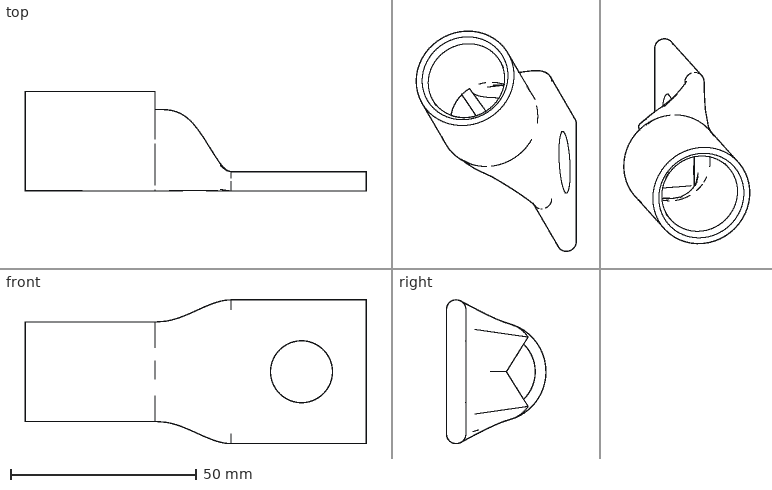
import cadquery as cq
import math

length = 92.1
barrel_diameter = 26.9
pad_width = 38.9

barrel_length = 35.1
bore_radius = 10.5
mouth_radius = 11.8
mouth_depth = 2.0
barrel_radius = barrel_diameter / 2

pad_start = 55.5
pad_thickness = 5.25
hole_diameter = 16.7
hole_x = 74.6
edge_radius = pad_thickness / 2
flat_half_width = pad_width / 2 - edge_radius

dent_y = 16.2
cavity_dent_y = 13.1
dent_slope = 1.6
ridge_drop = 0.7
seam_low_y = 9.9
seam_high_y = 16.85
ridge_share = 0.7
tip_softness = 0.1
slit_half_height = 0.05

blend_steps = 8
arc_steps = 6
side_lag = 1.1
ridge_lag = 1.7


def mix(start, end, share):
    return start + (end - start) * share


def smooth(share):
    return share * share * (3 - 2 * share)


def v_ridge(radius, apex_y):
    """Height and half width at which the V meets a circle on the barrel axis."""
    rise = apex_y - barrel_radius
    a = 1 + dent_slope ** 2
    climb = (-rise + math.sqrt(rise ** 2 - a * (rise ** 2 - radius ** 2))) / a
    return apex_y + climb, dent_slope * climb


def tube_angle(y, z):
    """Angle about the barrel axis, zero at the bottom (-Y) of the tube."""
    return math.atan2(z, barrel_radius - y)


def tube_arc(radius, start, end, drop=0):
    """Points on an arc about the barrel axis, easing inward by the drop at its end."""
    points = []
    for step in range(arc_steps + 1):
        share = step / arc_steps
        angle = mix(start, end, share)
        reach = radius - drop * share ** 2
        points.append((barrel_radius - reach * math.cos(angle), reach * math.sin(angle)))
    return points


def straight(start, end):
    shares = [i / arc_steps for i in range(arc_steps + 1)]
    return [(mix(start[0], end[0], s), mix(start[1], end[1], s)) for s in shares]


def flank(ridge, apex_y, softness):
    """V flank from the ridge to the centre, levelling out at the tip when softness is above zero."""
    points = []
    for step in range(arc_steps + 1):
        share = 1 - step / arc_steps
        climb = (math.hypot(share, softness) - softness) / (math.hypot(1, softness) - softness)
        points.append((mix(apex_y, ridge[0], climb), share * ridge[1]))
    return points


def tube_half(radius, apex_y, drop, softness):
    """Bottom, side, shoulder and V flank of half a dented tube, as (y, z) points."""
    ridge = v_ridge(radius - drop, apex_y)
    low = math.acos((barrel_radius - seam_low_y) / barrel_radius)
    high = math.acos((barrel_radius - seam_high_y) / barrel_radius)
    return [
        tube_arc(radius, 0, low),
        tube_arc(radius, low, high),
        tube_arc(radius, high, tube_angle(*ridge), drop),
        flank(ridge, apex_y, softness),
    ]


def flat_half(half_height):
    """The same four stretches on a flat stadium with the given half height."""
    bottom = edge_radius - half_height
    top = edge_radius + half_height
    angles = [math.pi * i / arc_steps for i in range(arc_steps + 1)]
    side = [
        (edge_radius - half_height * math.cos(a), flat_half_width + half_height * math.sin(a))
        for a in angles
    ]
    ridge = (top, ridge_share * flat_half_width)
    return [
        straight((bottom, 0), (bottom, flat_half_width)),
        side,
        straight((top, flat_half_width), ridge),
        straight(ridge, (top, 0)),
    ]


def section(tube, flat, share, soft_tip):
    """Closed wire part of the way from the tube section to the flat one."""
    x = mix(barrel_length, pad_start, share)
    side_ease = smooth(share ** side_lag)
    top_ease = smooth(share ** ridge_lag)
    easings = [(side_ease, side_ease), (side_ease, side_ease), (side_ease, top_ease), (top_ease, top_ease)]
    half = []
    for tube_points, flat_points, (first_ease, last_ease) in zip(tube, flat, easings):
        points = []
        for step, (p, q) in enumerate(zip(tube_points, flat_points)):
            ease = mix(first_ease, last_ease, step / arc_steps)
            points.append(cq.Vector(x, mix(p[0], q[0], ease), mix(p[1], q[1], ease)))
        half.append(points)
    mirrored = [[cq.Vector(p.x, p.y, -p.z) for p in reversed(points)] for points in reversed(half)]
    bottom = mirrored[-1] + half[0][1:]
    flanks = [half[-1], mirrored[0]]
    if soft_tip:
        flanks = [half[-1] + mirrored[0][1:]]
    stretches = [bottom] + half[1:-1] + flanks + mirrored[1:-1]
    return cq.Wire.assembleEdges([cq.Edge.makeSpline(points) for points in stretches])


def neck_body(tube, flat, soft_tip):
    shares = [i / blend_steps for i in range(blend_steps + 1)]
    return cq.Workplane(cq.Solid.makeLoft([section(tube, flat, s, soft_tip) for s in shares]))


def make_barrel():
    tube = (
        cq.Workplane("YZ")
        .center(barrel_radius, 0)
        .circle(barrel_radius)
        .circle(bore_radius)
        .extrude(barrel_length)
    )
    mouth = cq.Solid.makeCone(
        mouth_radius, bore_radius, mouth_depth, cq.Vector(0, barrel_radius, 0), cq.Vector(1, 0, 0)
    )
    return tube.cut(cq.Workplane(mouth))


def make_neck():
    outer_tube = tube_half(barrel_radius, dent_y, ridge_drop, 0)
    cavity_tube = tube_half(bore_radius, cavity_dent_y, 0, tip_softness)
    outer = neck_body(outer_tube, flat_half(edge_radius), False)
    cavity = neck_body(cavity_tube, flat_half(slit_half_height), True)
    return outer.cut(cavity)


def make_pad():
    pad = (
        cq.Workplane("YZ", origin=(pad_start, edge_radius, 0))
        .slot2D(pad_width, pad_thickness, 90)
        .extrude(length - pad_start)
    )
    hole = (
        cq.Workplane("XZ", origin=(hole_x, 0, 0))
        .circle(hole_diameter / 2)
        .extrude(-pad_thickness)
    )
    return pad.cut(hole)


result = make_barrel().union(make_neck()).union(make_pad())